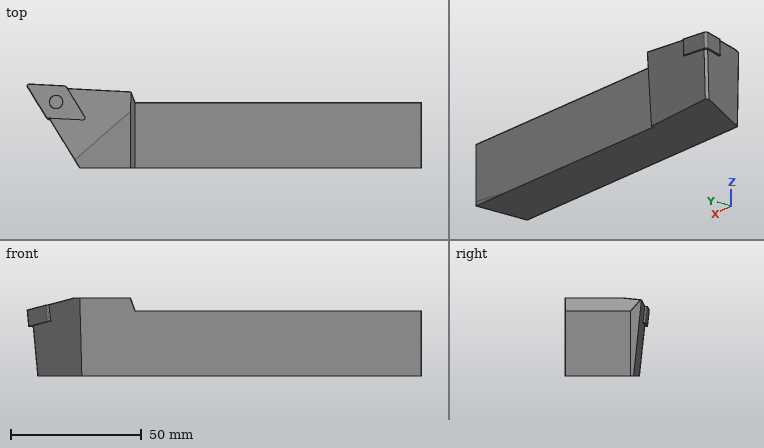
import cadquery as cq
import math

length = 151.0
shank_size = 25.0
head_height = 30.0
step_top_x = 39.5
step_bottom_x = 41.4
head_back_y = 29.6
step_run = step_bottom_x - step_top_x

rake_origin_z = 28.7
rise_x = 0.093
fall_y = 0.107
trim_depth = 68.0
trim_margin = 15.1

rear_angle = 3.0
point_angle = 55.0
front_angle = rear_angle + point_angle

head_nose_x = 0.6
head_nose_y = 31.4
head_nose_chamfer = 1.5

insert_tip_x = -1.0
insert_tip_y = 32.5
insert_side = 15.5
insert_thickness = 6.3
insert_corner_radius = 0.8
pin_diameter = 5.1

rake_plane = cq.Plane(
    origin=(0, 0, rake_origin_z),
    xDir=(1, 0, rise_x),
    normal=(-rise_x, fall_y, 1),
)


def step_along(start, angle, distance):
    """Point reached from start in a direction measured clockwise from +X."""
    turn = math.radians(angle)
    return (start[0] + distance * math.cos(turn), start[1] - distance * math.sin(turn))


def make_block():
    """Square shank with a taller and wider head, both reached by sloped steps."""
    block_width = head_back_y + trim_margin
    side_profile = (
        cq.Workplane("XZ")
        .moveTo(-trim_margin, 0)
        .lineTo(length, 0)
        .lineTo(length, shank_size)
        .lineTo(step_bottom_x, shank_size)
        .lineTo(step_top_x, head_height)
        .lineTo(-trim_margin, head_height)
        .close()
        .extrude(-block_width)
    )
    rear_step_slope = step_run / (head_back_y - shank_size)
    plan = (
        cq.Workplane("XY")
        .moveTo(-trim_margin, 0)
        .lineTo(length, 0)
        .lineTo(length, shank_size)
        .lineTo(step_bottom_x, shank_size)
        .lineTo(step_bottom_x - rear_step_slope * (block_width - shank_size), block_width)
        .lineTo(-trim_margin, block_width)
        .close()
        .extrude(head_height)
    )
    return side_profile.intersect(plan)


def make_head_trim():
    """Prism below the rake plane that gives the head its rake face and flanks."""
    nose = (head_nose_x, head_nose_y)
    front_length = (head_nose_y + trim_margin) / math.sin(math.radians(front_angle))
    front_end = step_along(nose, front_angle, front_length)
    rear_end = step_along(nose, rear_angle, step_bottom_x)
    far_x = length + trim_margin
    prism = (
        cq.Workplane(rake_plane)
        .polyline([nose, front_end, (far_x, front_end[1]), (far_x, rear_end[1]), rear_end])
        .close()
        .extrude(-trim_depth)
    )
    nose_edge = cq.selectors.NearestToPointSelector(
        rake_plane.toWorldCoords((*nose, -trim_depth / 2)).toTuple()
    )
    return prism.edges(nose_edge).chamfer(head_nose_chamfer)


def insert_corners():
    """Tip, front, far and rear corners of the insert in the rake plane."""
    tip = (insert_tip_x, insert_tip_y)
    front = step_along(tip, front_angle, insert_side)
    far = step_along(front, rear_angle, insert_side)
    rear = step_along(tip, rear_angle, insert_side)
    return [tip, front, far, rear]


def make_insert_slab():
    """Rhombic slab lying flush with the rake plane, with its four corners rounded."""
    slab = cq.Workplane(rake_plane).polyline(insert_corners()).close().extrude(-insert_thickness)
    upright_edges = cq.selectors.ParallelDirSelector(rake_plane.zDir)
    return slab.edges(upright_edges).fillet(insert_corner_radius)


def make_pin():
    """Locating pin of the holder, flush with the top of the insert."""
    tip, _, far, _ = insert_corners()
    center_x = (tip[0] + far[0]) / 2
    center_y = (tip[1] + far[1]) / 2
    return (
        cq.Workplane(rake_plane)
        .center(center_x, center_y)
        .circle(pin_diameter / 2)
        .extrude(-insert_thickness)
    )


insert = make_insert_slab().cut(make_pin())
holder = make_block().intersect(make_head_trim()).cut(insert)

result = cq.Compound.makeCompound([*holder.solids().vals(), *insert.solids().vals()])